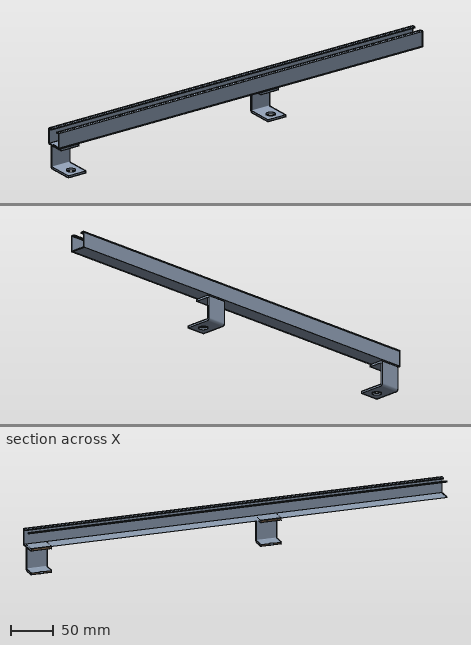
import cadquery as cq

rail_length = 520.5
total_width = 35.0
total_height = 52.5

slot_width = 11.0
lip_width = 4.85
lip_depth = 1.5
rail_width = slot_width + 2 * lip_width
rail_height = rail_width
rail_thickness = 1.0
rail_bend_radius = 1.0

bracket_thickness = 2.5
bracket_bend_radius = 3.0
bracket_length = 25.5
bracket_end_gap = 3.0
bracket_pitch = 286.0
bracket_count = 2
hole_diameter = 11.0
hole_x = 22.5

edge_search = 0.5
rail_bottom = total_height - rail_height


def box(x_start, x_end, length, z_start, z_end):
    """Box along +Y from Y = 0, given by its X and Z limits."""
    size = (x_end - x_start, length, z_end - z_start)
    return cq.Workplane("XY").box(*size, centered=False).translate((x_start, 0, z_start))


def make_rail():
    outer = box(0, rail_width, rail_length, rail_bottom, total_height)
    outer = outer.edges("|Y").fillet(rail_bend_radius)
    cavity = box(
        rail_thickness, rail_width - rail_thickness, rail_length,
        rail_bottom + rail_thickness, total_height - rail_thickness,
    )
    slot_start = lip_width
    slot_end = slot_start + slot_width
    slot = box(slot_start, slot_end, rail_length, total_height - rail_height / 2, total_height)
    channel = outer.cut(cavity).cut(slot)

    lip_bottom = total_height - lip_depth
    left_lip = box(slot_start - rail_thickness, slot_start, rail_length, lip_bottom, total_height)
    right_lip = box(slot_end, slot_end + rail_thickness, rail_length, lip_bottom, total_height)
    channel = channel.union(left_lip).union(right_lip)
    slot_corners = cq.selectors.BoxSelector(
        (slot_start - edge_search, 0, total_height - edge_search),
        (slot_end + edge_search, rail_length, total_height + edge_search),
    )
    return channel.edges("|Y").edges(slot_corners).fillet(rail_bend_radius)


def make_bracket(y_start):
    web = box(0, total_width, bracket_length, 0, rail_bottom)
    web = web.edges("|Y and <X").fillet(bracket_bend_radius)
    inside = box(
        bracket_thickness, total_width, bracket_length,
        bracket_thickness, rail_bottom - bracket_thickness,
    )
    inside = inside.edges("|Y and <X").fillet(bracket_bend_radius - bracket_thickness)
    beyond_flange = box(rail_width, total_width, bracket_length, bracket_thickness, rail_bottom)
    hole = (
        cq.Workplane("XY")
        .center(hole_x, bracket_length / 2)
        .circle(hole_diameter / 2)
        .extrude(bracket_thickness)
    )
    bracket = web.cut(inside).cut(beyond_flange).cut(hole)
    return bracket.translate((0, y_start, 0))


rail = make_rail()
brackets = [make_bracket(bracket_end_gap + index * bracket_pitch) for index in range(bracket_count)]

result = cq.Compound.makeCompound([rail.val(), *[bracket.val() for bracket in brackets]])